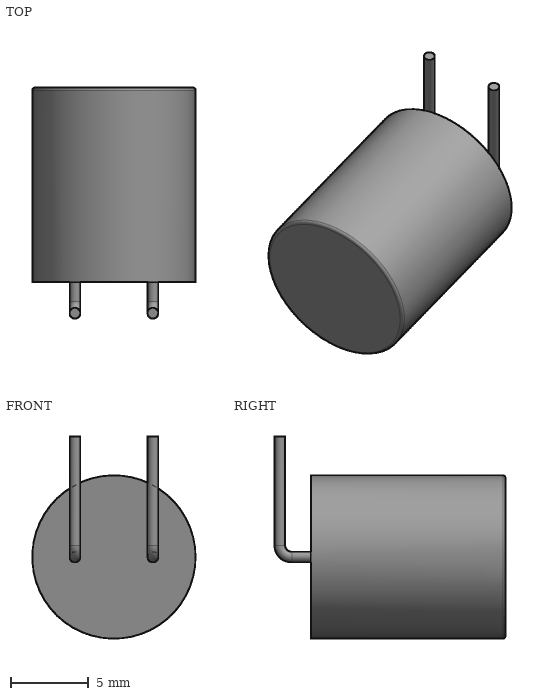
import cadquery as cq

body_diameter = 10.5
body_length = 12.5
rear_edge_radius = 0.2

total_length = 14.85
total_height = 13.0
pin_diameter = 0.7
pin_pitch = 5.0
bend_radius = 0.75

pin_radius = pin_diameter / 2
pin_reach = total_length - body_length - pin_radius
pin_top = total_height - body_diameter / 2


def make_body():
    """Cylinder with a rounded rear rim."""
    body = cq.Workplane("XZ").circle(body_diameter / 2).extrude(-body_length)
    return body.faces(">Y").edges().fillet(rear_edge_radius)


def make_pin(x):
    """Round wire leaving the face along -Y, then bending up to +Z."""
    path = (
        cq.Workplane("YZ", origin=(x, 0, 0))
        .lineTo(bend_radius - pin_reach, 0)
        .tangentArcPoint((-bend_radius, bend_radius))
        .lineTo(-pin_reach, pin_top)
    )
    return cq.Workplane("XZ", origin=(x, 0, 0)).circle(pin_radius).sweep(path)


result = make_body()
for side in (-1, 1):
    result = result.union(make_pin(side * pin_pitch / 2))